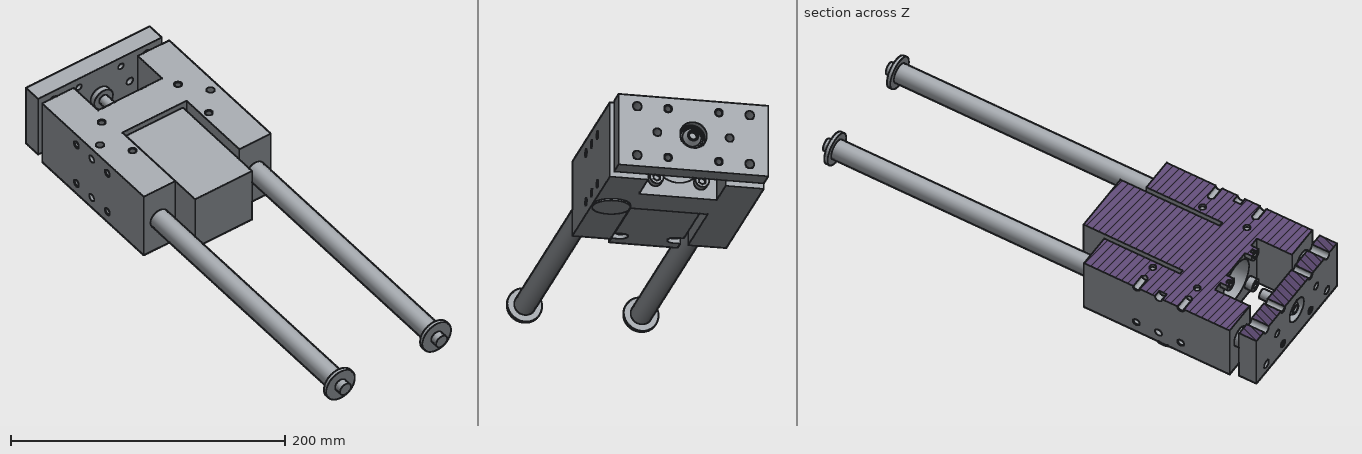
import cadquery as cq
import math


plate_length = 15.0
plate_width = 112.0
plate_height = 55.0

body_gap = 7.0
body_length = 125.0
body_width = 115.0
body_height = 58.0
body_top = body_height / 2
body_bottom = -body_top
body_front = plate_length + body_gap
body_rear = body_front + body_length
arm_width = 28.5
slot_width = body_width - 2 * arm_width
bridge_thickness = 30.0
bridge_setback = 30.0
bridge_front = body_front + bridge_setback
bridge_rear = bridge_front + bridge_thickness
bridge_bore = 36.0

block_width = 51.5
block_height = 48.0
block_rear = 167.0

clamp_head_diameter = 10.0
clamp_head_height = 6.0
clamp_offset = 17.0
clamp_socket_width = 5.0
clamp_socket_depth = 3.0

recess_width = 11.0
recess_height = 6.0
recess_inset = 5.5
recess_x = 152.5
small_head_diameter = 7.0
small_head_height = 3.5

cover_diameter = 28.0
cover_thickness = 1.5
cover_setback = 57.5
cover_x = body_front + cover_setback

rod_diameter = 16.0
rod_offset = 43.5
washer_diameter = 26.0
washer_thickness = 3.0
end_head_diameter = 10.0
end_head_height = 6.0
overall_length = 376.0
washer_rear = overall_length - end_head_height
rod_rear = washer_rear - washer_thickness

coupling_bore = 20.0
coupling_bore_depth = 6.5
coupling_washer_diameter = 17.0
coupling_washer_thickness = 1.0
coupling_disc_diameter = 17.0
coupling_disc_thickness = 4.5
coupling_pin_diameter = 8.0
coupling_pin_end = 30.0
coupling_head_diameter = 14.0
coupling_head_top_diameter = 8.0
coupling_head_height = 4.5
coupling_socket_diameter = 6.0
coupling_socket_depth = 2.5

hole_pitch = 19.0
thread_diameter = 6.0
thread_core_diameter = 4.92
thread_depth = 12.0
thread_chamfer = (thread_diameter - thread_core_diameter) / 2
drill_tip_angle = 118.0
drill_tip_length = thread_core_diameter / 2 / math.tan(math.radians(drill_tip_angle / 2))
dowel_diameter = 6.0
dowel_depth = 6.0
hole_pattern_setback = 61.0
hole_pattern_x = body_front + hole_pattern_setback
top_thread_offset = 34.5
top_dowel_offset = 50.0
plate_clearance_diameter = 6.6
plate_clearance_offset = 42.0
plate_dowel_offset = 27.0

BOTH_SIDES = (-1, 1)
HEX_SIDES = 6


def box(x_min, x_max, width, z_min, z_max):
    """Box centred on Y = 0."""
    size = (x_max - x_min, width, z_max - z_min)
    return cq.Workplane("XY").box(*size, centered=(False, True, False)).translate((x_min, 0, z_min))


def rod_along(start, direction, diameter, length):
    """Cylinder that starts at a point and runs along a direction."""
    axis = cq.Vector(*direction)
    return cq.Workplane(cq.Solid.makeCylinder(diameter / 2, length, cq.Vector(*start), axis))


def rod_x(x_min, x_max, y, z, diameter):
    """Cylinder parallel to X."""
    return rod_along((x_min, y, z), (1, 0, 0), diameter, x_max - x_min)


def cone_along(start, direction, base_diameter, end_diameter, length):
    """Cone that starts at a point and runs along a direction."""
    axis = cq.Vector(*direction)
    return cq.Workplane(
        cq.Solid.makeCone(base_diameter / 2, end_diameter / 2, length, cq.Vector(*start), axis)
    )


def threaded_hole(mouth, inward, depth):
    """Cutter for a tapped hole: core diameter with a countersunk mouth and a conical drill tip."""
    core = rod_along(mouth, inward, thread_core_diameter, depth)
    countersink = cone_along(mouth, inward, thread_diameter, thread_core_diameter, thread_chamfer)
    tip_start = (cq.Vector(*mouth) + cq.Vector(*inward) * depth).toTuple()
    tip = cone_along(tip_start, inward, thread_core_diameter, 0, drill_tip_length)
    return core.union(countersink).union(tip)


def housing_body():
    body = box(body_front, body_rear, body_width, body_bottom, body_top)
    front_slot = box(body_front, bridge_front, slot_width, body_bottom, body_top)
    rear_slot = box(bridge_rear, body_rear, slot_width, body_bottom, body_top)
    body = body.cut(front_slot).cut(rear_slot)
    body = body.cut(rod_x(bridge_front, bridge_rear, 0, 0, bridge_bore))
    for side in BOTH_SIDES:
        body = body.cut(rod_x(body_front, body_rear, side * rod_offset, 0, rod_diameter))
    return body


def cut_housing_holes(body):
    for side in BOTH_SIDES:
        inward = (0, -side, 0)
        for z in (-hole_pitch, hole_pitch):
            face_y = side * body_width / 2
            body = body.cut(rod_along((hole_pattern_x, face_y, z), inward, dowel_diameter, dowel_depth))
            for x in (hole_pattern_x - hole_pitch, hole_pattern_x + hole_pitch):
                body = body.cut(threaded_hole((x, face_y, z), inward, thread_depth))
        down = (0, 0, -1)
        dowel_mouth = (hole_pattern_x, side * top_dowel_offset, body_top)
        body = body.cut(rod_along(dowel_mouth, down, dowel_diameter, dowel_depth))
        for x in (hole_pattern_x - hole_pitch, hole_pattern_x + hole_pitch):
            body = body.cut(threaded_hole((x, side * top_thread_offset, body_top), down, thread_depth))
    return body


def drive_block():
    bottom = -block_height / 2
    ceiling = bottom + recess_height
    block = box(bridge_rear, block_rear, block_width, bottom, -bottom)
    for side in BOTH_SIDES:
        center_y = side * (block_width / 2 - recess_inset)
        round_end = rod_along((recess_x, center_y, bottom), (0, 0, 1), recess_width, recess_height)
        opening = (
            cq.Workplane("XY")
            .box(recess_width, recess_inset, recess_height, centered=(True, True, False))
            .translate((recess_x, center_y + side * recess_inset / 2, bottom))
        )
        head = rod_along((recess_x, center_y, ceiling), (0, 0, -1), small_head_diameter, small_head_height)
        block = block.cut(round_end).cut(opening).union(head)
    return block


def clamp_head(y, z):
    """Socket head standing on the front of the bridge."""
    head_front = bridge_front - clamp_head_height
    socket = (
        cq.Workplane("YZ", origin=(head_front, y, z))
        .polygon(HEX_SIDES, clamp_socket_width, circumscribed=True)
        .extrude(clamp_socket_depth)
    )
    return rod_x(head_front, bridge_front, y, z, clamp_head_diameter).cut(socket)


def make_housing():
    housing = cut_housing_holes(housing_body()).union(drive_block())
    for y in (-clamp_offset, clamp_offset):
        for z in (-clamp_offset, clamp_offset):
            housing = housing.union(clamp_head(y, z))
    cover = rod_along((cover_x, rod_offset, body_bottom), (0, 0, -1), cover_diameter, cover_thickness)
    return housing.union(cover)


def front_plate():
    plate = box(0, plate_length, plate_width, -plate_height / 2, plate_height / 2)
    for side in BOTH_SIDES:
        plate = plate.cut(rod_x(0, plate_length, side * plate_dowel_offset, 0, dowel_diameter))
        for z in (-hole_pitch, hole_pitch):
            clearance_y = side * plate_clearance_offset
            plate = plate.cut(rod_x(0, plate_length, clearance_y, z, plate_clearance_diameter))
            plate = plate.cut(threaded_hole((0, side * hole_pitch, z), (1, 0, 0), plate_length))
    return plate.cut(rod_x(0, coupling_bore_depth, 0, 0, coupling_bore))


def add_coupling(plate):
    disc_end = plate_length + coupling_disc_thickness
    plate = plate.union(rod_x(plate_length, disc_end, 0, 0, coupling_disc_diameter))
    plate = plate.union(rod_x(disc_end, coupling_pin_end, 0, 0, coupling_pin_diameter))
    washer_front = coupling_bore_depth - coupling_washer_thickness
    washer = rod_x(washer_front, coupling_bore_depth, 0, 0, coupling_washer_diameter)
    head = cone_along(
        (washer_front, 0, 0),
        (-1, 0, 0),
        coupling_head_diameter,
        coupling_head_top_diameter,
        coupling_head_height,
    )
    head_front = washer_front - coupling_head_height
    socket = rod_x(head_front, head_front + coupling_socket_depth, 0, 0, coupling_socket_diameter)
    return plate.union(washer).union(head.cut(socket))


def make_carriage():
    carriage = add_coupling(front_plate())
    for side in BOTH_SIDES:
        y = side * rod_offset
        carriage = carriage.union(rod_x(plate_length, rod_rear, y, 0, rod_diameter))
        carriage = carriage.union(rod_x(rod_rear, washer_rear, y, 0, washer_diameter))
        carriage = carriage.union(rod_x(washer_rear, overall_length, y, 0, end_head_diameter))
    return carriage


housing = make_housing()
carriage = make_carriage()

result = cq.Compound.makeCompound([housing.val(), carriage.val()])